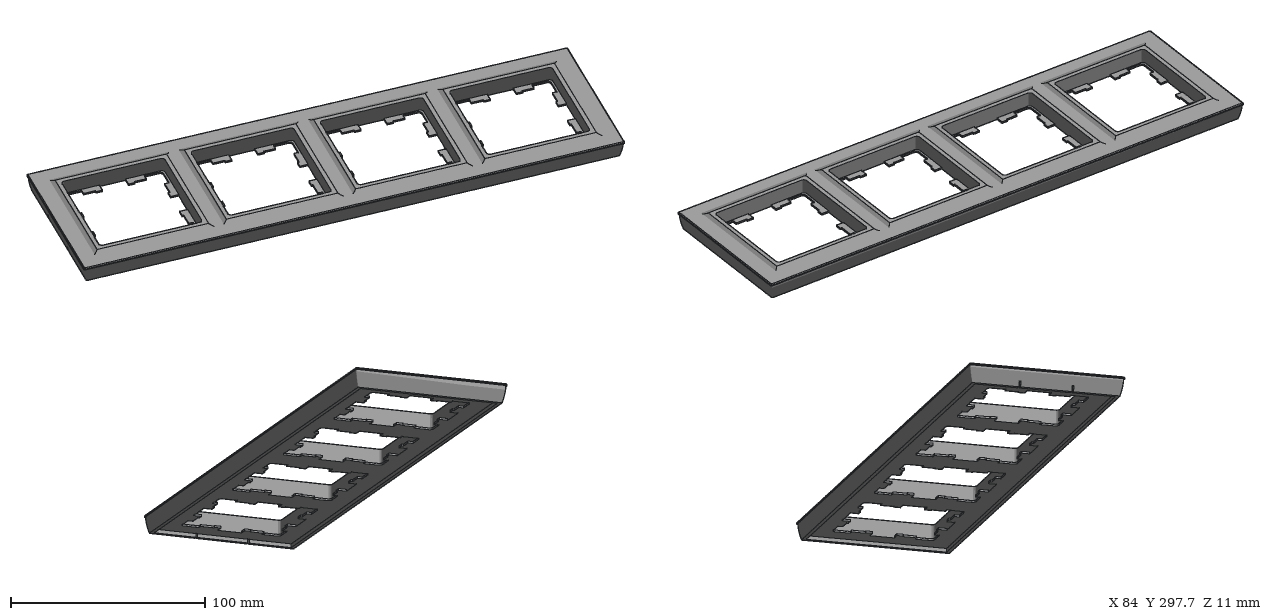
import cadquery as cq
import math

WIDTH = 84.0
LENGTH = 297.7
HEIGHT = 11.0
GANG_COUNT = 4
GANG_PITCH = 71.2

TOP_CHAMFER = 0.5
LIP_LAND = 0.5
LIP_OVERHANG = 0.45
CORNER_RADIUS = 0.5
SIDE_LEAN_TOP = 2.5
SIDE_LEAN_BOTTOM = 17.5

BORDER_SIZE = 67.3
COVE_WIDTH = 3.0
COVE_RISE = 1.05
COVE_RADIUS = (COVE_WIDTH**2 + COVE_RISE**2) / (2 * COVE_RISE)
COVE_SWEEP = math.degrees(2 * math.atan(COVE_RISE / COVE_WIDTH))
BODY_TOP = HEIGHT - COVE_RISE

WALL_HEIGHT = BODY_TOP - TOP_CHAMFER - LIP_LAND
SINE_SPAN = math.sin(math.radians(SIDE_LEAN_BOTTOM)) - math.sin(math.radians(SIDE_LEAN_TOP))
COSINE_SPAN = math.cos(math.radians(SIDE_LEAN_TOP)) - math.cos(math.radians(SIDE_LEAN_BOTTOM))
WALL_RADIUS = WALL_HEIGHT / SINE_SPAN
FOOT_INSET = LIP_OVERHANG + WALL_RADIUS * COSINE_SPAN

RECESS_DEPTH = 2.0
WALL_THICKNESS = 2.0

OPENING_SIZE = 56.5
OPENING_RADIUS = 1.8
LEDGE_WIDTH_X = 1.0
LEDGE_WIDTH_Y = 1.2
LEDGE_TOP = 3.0

CLIP_REACH = 3.5
TIP_REACH = 4.5
TIP_LENGTH = 3.5
CLIP_SPAN_ALONG_X = (6.5, 17.5)
CLIP_SPAN_ALONG_Y = (7.0, 17.3)

SLOT_WIDTH = 1.0
SLOT_HEIGHT = 3.0
SLOT_OFFSET = 14.3


def mitred_block(size_x, size_y, half_section):
    """Block whose four sides all follow half_section, meeting in sharp corners."""
    along_y = half_section(cq.Workplane("XZ"), size_x / 2).extrude(size_y / 2, both=True)
    along_x = half_section(cq.Workplane("YZ"), size_y / 2).extrude(size_x / 2, both=True)
    return along_y.intersect(along_x)


def arc_point(centre, radius, degrees):
    angle = math.radians(degrees)
    return (centre[0] + radius * math.cos(angle), centre[1] + radius * math.sin(angle))


def mirrored_x(point):
    return (-point[0], point[1])


def body_section(plane, half_width):
    """Full cross-section of the body with bulging sides under a chamfered lip."""
    wall_x = half_width - LIP_OVERHANG
    lean_top = math.radians(SIDE_LEAN_TOP)
    centre = (
        wall_x - WALL_RADIUS * math.cos(lean_top),
        WALL_HEIGHT + WALL_RADIUS * math.sin(lean_top),
    )
    middle = arc_point(centre, WALL_RADIUS, -(SIDE_LEAN_TOP + SIDE_LEAN_BOTTOM) / 2)
    bottom = arc_point(centre, WALL_RADIUS, -SIDE_LEAN_BOTTOM)
    return (
        plane.moveTo(half_width - TOP_CHAMFER, BODY_TOP)
        .lineTo(half_width, WALL_HEIGHT + LIP_LAND)
        .lineTo(half_width, WALL_HEIGHT)
        .lineTo(wall_x, WALL_HEIGHT)
        .threePointArc(middle, bottom)
        .lineTo(*mirrored_x(bottom))
        .threePointArc(mirrored_x(middle), (-wall_x, WALL_HEIGHT))
        .lineTo(-half_width, WALL_HEIGHT)
        .lineTo(-half_width, WALL_HEIGHT + LIP_LAND)
        .lineTo(-half_width + TOP_CHAMFER, BODY_TOP)
        .close()
    )


def border_section(plane, half_width):
    """Full cross-section of a raised border, sunk into the body that carries it."""
    centre = (half_width, BODY_TOP + COVE_RADIUS)
    middle = arc_point(centre, COVE_RADIUS, -90 - COVE_SWEEP / 2)
    top = arc_point(centre, COVE_RADIUS, -90 - COVE_SWEEP)
    return (
        plane.moveTo(half_width, LEDGE_TOP)
        .lineTo(half_width, BODY_TOP)
        .threePointArc(middle, top)
        .lineTo(*mirrored_x(top))
        .threePointArc(mirrored_x(middle), (-half_width, BODY_TOP))
        .lineTo(-half_width, LEDGE_TOP)
        .close()
    )


def rounded_prism(size_x, size_y, bottom, top):
    prism = cq.Workplane("XY").workplane(offset=bottom).rect(size_x, size_y).extrude(top - bottom)
    return prism.edges("|Z").fillet(OPENING_RADIUS)


def opening():
    """Cutter for one opening; the ledge is left out between the two clips of each side."""
    upper = rounded_prism(OPENING_SIZE, OPENING_SIZE, LEDGE_TOP, HEIGHT)
    ledge_x = OPENING_SIZE - 2 * LEDGE_WIDTH_X
    ledge_y = OPENING_SIZE - 2 * LEDGE_WIDTH_Y
    lower = rounded_prism(ledge_x, ledge_y, 0, LEDGE_TOP)
    gap_along_x = cq.Workplane("XY").rect(2 * CLIP_SPAN_ALONG_X[0], OPENING_SIZE).extrude(LEDGE_TOP)
    gap_along_y = cq.Workplane("XY").rect(OPENING_SIZE, 2 * CLIP_SPAN_ALONG_Y[0]).extrude(LEDGE_TOP)
    return upper.union(lower).union(gap_along_x).union(gap_along_y)


def clip_pair(span):
    """Two mirrored clips on the +Y side of an opening centred on the origin."""
    near, far = span
    wall = OPENING_SIZE / 2
    clip = (
        cq.Workplane("XY")
        .workplane(offset=RECESS_DEPTH)
        .moveTo(near, wall)
        .lineTo(near, wall - TIP_REACH)
        .lineTo(near + TIP_LENGTH, wall - TIP_REACH)
        .lineTo(near + TIP_LENGTH, wall - CLIP_REACH)
        .lineTo(far, wall - CLIP_REACH)
        .lineTo(far, wall)
        .close()
        .extrude(LEDGE_TOP - RECESS_DEPTH)
    )
    return clip.union(clip.mirror("YZ"))


def clips():
    along_x = clip_pair(CLIP_SPAN_ALONG_X)
    along_y = clip_pair(CLIP_SPAN_ALONG_Y).rotate((0, 0, 0), (0, 0, 1), 90)
    return along_x.union(along_x.mirror("XZ")).union(along_y).union(along_y.mirror("YZ"))


def underside_recess():
    inset = FOOT_INSET + WALL_THICKNESS
    return cq.Workplane("XY").rect(WIDTH - 2 * inset, LENGTH - 2 * inset).extrude(RECESS_DEPTH)


def release_slots():
    """Two slots through the perimeter wall, cut from the outer edge to the recess."""
    slot_length = FOOT_INSET + WALL_THICKNESS
    slot_y = (slot_length - LENGTH) / 2
    return (
        cq.Workplane("XY")
        .pushPoints([(-SLOT_OFFSET, slot_y), (SLOT_OFFSET, slot_y)])
        .rect(SLOT_WIDTH, slot_length)
        .extrude(SLOT_HEIGHT)
    )


body = mitred_block(WIDTH, LENGTH, body_section)
mitre_edges = "not (|X or |Y)"
body = body.edges(mitre_edges).fillet(CORNER_RADIUS)
result = body.cut(underside_recess())
for gang in range(GANG_COUNT):
    centre = (0, (gang - (GANG_COUNT - 1) / 2) * GANG_PITCH, 0)
    border = mitred_block(BORDER_SIZE, BORDER_SIZE, border_section)
    result = result.union(border.translate(centre))
    result = result.cut(opening().translate(centre))
    result = result.union(clips().translate(centre))
result = result.cut(release_slots())